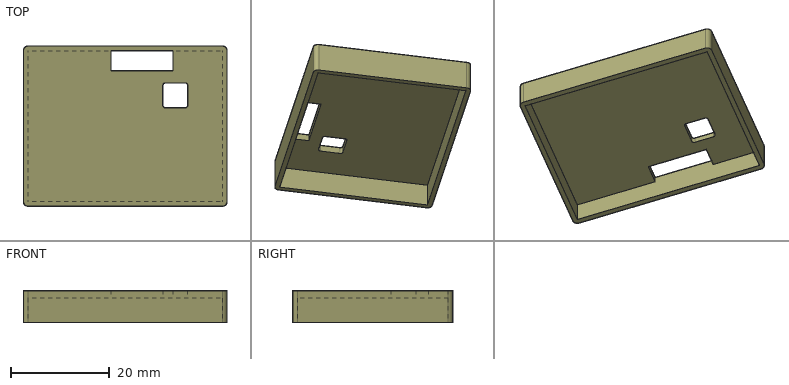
import cadquery as cq

length = 41.3
width = 32.5
height = 6.5
corner_radius = 1.0

wall = 1.0
lid_thickness = 1.5

slot_length = 12.5
slot_width = 4.0
slot_right_margin = 11.0

window_size = 5.0
window_radius = 0.5
window_right_margin = 8.0
window_back_margin = 7.5


def lid_cutter(size_x, size_y, right_margin, back_margin):
    """Box through the lid, placed by its margins to the right and back sides."""
    center_x = length / 2 - right_margin - size_x / 2
    center_y = width / 2 - back_margin - size_y / 2
    return (
        cq.Workplane("XY")
        .box(size_x, size_y, height, centered=(True, True, False))
        .translate((center_x, center_y, 0))
    )


body = (
    cq.Workplane("XY")
    .box(length, width, height, centered=(True, True, False))
    .edges("|Z")
    .fillet(corner_radius)
)

cavity = cq.Workplane("XY").box(
    length - 2 * wall,
    width - 2 * wall,
    height - lid_thickness,
    centered=(True, True, False),
)

slot = lid_cutter(slot_length, slot_width, slot_right_margin, wall)
window = lid_cutter(window_size, window_size, window_right_margin, window_back_margin)
window = window.edges("|Z").fillet(window_radius)

result = body.cut(cavity).cut(slot).cut(window)